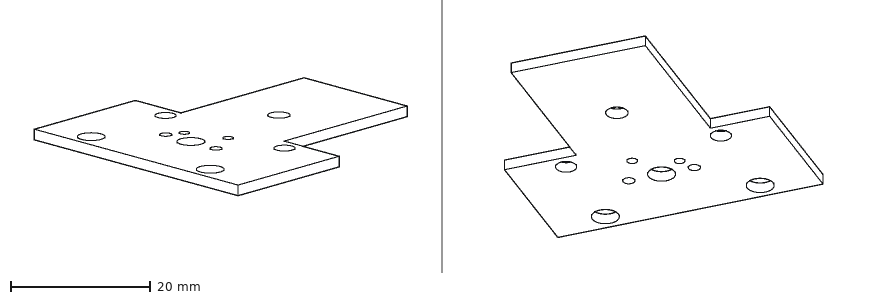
import cadquery as cq

base_width = 41.0
base_depth = 20.75
total_depth = 46.0
thickness = 1.6
tab_left = 9.15
tab_width = 20.75

switch_x = base_width / 2
switch_y = 11.22
pin_grid = 2.55
switch_diameter = 4.0
guide_diameter = 1.75
pin_diameter = 1.5

mount_pitch = 23.9
front_mount_y = 3.0
front_mount_diameter = 4.0
rear_mount_y = 18.2
rear_mount_diameter = 3.05

tab_hole_x = 20.0
tab_hole_y = 29.75
tab_hole_diameter = 3.2


def drill(plate, diameter, centres):
    """Cut through holes of one diameter at the given XY centres."""
    cutter = cq.Workplane("XY").pushPoints(centres).circle(diameter / 2).extrude(thickness)
    return plate.cut(cutter)


def mount_pair(y):
    """Centres of two mounting holes on either side of the switch."""
    return [(switch_x + side * mount_pitch / 2, y) for side in (-1, 1)]


def grid_points(steps):
    """Convert pin-grid steps from the switch centre to XY centres."""
    return [(switch_x + i * pin_grid, switch_y + j * pin_grid) for i, j in steps]


base = cq.Workplane("XY").rect(base_width, base_depth).extrude(thickness)
base = base.translate((base_width / 2, base_depth / 2, 0))
tab = cq.Workplane("XY").rect(tab_width, total_depth).extrude(thickness)
tab = tab.translate((tab_left + tab_width / 2, total_depth / 2, 0))
plate = base.union(tab).clean()

plate = drill(plate, switch_diameter, [(switch_x, switch_y)])
plate = drill(plate, guide_diameter, grid_points([(-2, 0), (2, 0)]))
plate = drill(plate, pin_diameter, grid_points([(-1.5, 1), (1, 2)]))
plate = drill(plate, front_mount_diameter, mount_pair(front_mount_y))
plate = drill(plate, rear_mount_diameter, mount_pair(rear_mount_y))
result = drill(plate, tab_hole_diameter, [(tab_hole_x, tab_hole_y)])